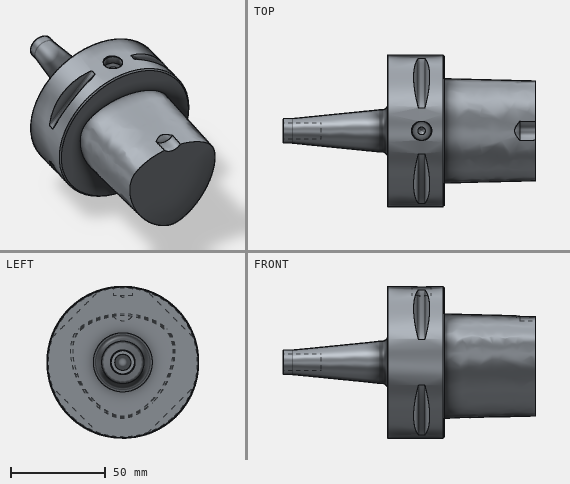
import cadquery as cq
import math

TOTAL_LENGTH = 133.0
COLLAR_START = 54.9
COLLAR_END = 85.0
COLLAR_RADIUS = 80.0 / 2
FRONT_CHAMFER = 0.4
REAR_CHAMFER = 0.8

NOSE_RADIUS = 13.0 / 2
NOSE_CHAMFER = 0.4
NOSE_STRAIGHT = 4.9
NECK_RADIUS = 22.3 / 2
NECK_START = 51.1
NECK_FILLET = 3.2
RECESS_RADIUS = 15.5
RECESS_DEPTH = 0.4
BORE_RADIUS = 8.5 / 2
BORE_DEPTH = 20.0

SHANK_RADIUS = 27.5
SHANK_TAPER = 20.0
LOBE_HEIGHT = 2.0
LOBE_COUNT = 3
LOBE_DIRECTION = -math.pi / 2
OUTLINE_POINTS = 48

KEYWAY_RADIUS = 13.0 / 2
KEYWAY_LENGTH = 8.2
KEYWAY_AXIS_HEIGHT = 28.3
KEYWAY_CONE_HALF_ANGLE = math.radians(45)

RIM_FEATURE_X = 73.0
GROOVE_FLOOR_DISTANCE = 35.5
GROOVE_FLOOR_WIDTH = 3.5
GROOVE_MOUTH_WIDTH = 8.5
GROOVE_CORNER_RADIUS = 0.5
GROOVE_ANGLES = (45, 135, 225, 315)
RIM_HOLE_RADIUS = 10.0 / 2
RIM_HOLE_DEPTH = 4.8
RIM_HOLE_CHAMFER = 0.4
CENTER_MARK_RADIUS = 4.0 / 2
DRILL_HALF_ANGLE = math.radians(60)


def make_nose_and_collar():
    """Revolve the nose, neck fillet and collar about the X axis."""
    recess_floor = COLLAR_START + RECESS_DEPTH
    fillet_start = recess_floor - NECK_FILLET
    fillet_end_radius = NECK_RADIUS + NECK_FILLET
    diagonal = NECK_FILLET * math.sqrt(0.5)
    fillet_middle = (fillet_start + diagonal, fillet_end_radius - diagonal)
    profile = (
        cq.Workplane("XY")
        .moveTo(0, 0)
        .lineTo(0, NOSE_RADIUS - NOSE_CHAMFER)
        .lineTo(NOSE_CHAMFER, NOSE_RADIUS)
        .lineTo(NOSE_STRAIGHT, NOSE_RADIUS)
        .lineTo(NECK_START, NECK_RADIUS)
        .lineTo(fillet_start, NECK_RADIUS)
        .threePointArc(fillet_middle, (recess_floor, fillet_end_radius))
        .lineTo(recess_floor, RECESS_RADIUS)
        .lineTo(COLLAR_START, RECESS_RADIUS)
        .lineTo(COLLAR_START, COLLAR_RADIUS - FRONT_CHAMFER)
        .lineTo(COLLAR_START + FRONT_CHAMFER, COLLAR_RADIUS)
        .lineTo(COLLAR_END - REAR_CHAMFER, COLLAR_RADIUS)
        .lineTo(COLLAR_END, COLLAR_RADIUS - REAR_CHAMFER)
        .lineTo(COLLAR_END, 0)
        .close()
    )
    return profile.revolve(360, (0, 0, 0), (1, 0, 0))


def lobed_outline(mean_radius):
    """Points of a constant-width curve, from its distance to each tangent line."""
    points = []
    for index in range(OUTLINE_POINTS):
        angle = 2 * math.pi * index / OUTLINE_POINTS
        phase = LOBE_COUNT * (angle - LOBE_DIRECTION)
        distance = mean_radius + LOBE_HEIGHT * math.cos(phase)
        slope = -LOBE_COUNT * LOBE_HEIGHT * math.sin(phase)
        y = distance * math.cos(angle) - slope * math.sin(angle)
        z = distance * math.sin(angle) + slope * math.cos(angle)
        points.append((y, z))
    return points


def make_shank():
    """Loft the lobed outline from the collar to the smaller rear end."""
    length = TOTAL_LENGTH - COLLAR_END
    end_radius = SHANK_RADIUS - length / SHANK_TAPER / 2
    return (
        cq.Workplane("YZ", origin=(COLLAR_END, 0, 0))
        .spline(lobed_outline(SHANK_RADIUS), periodic=True)
        .close()
        .workplane(offset=length)
        .spline(lobed_outline(end_radius), periodic=True)
        .close()
        .loft(ruled=True, combine=True)
    )


def make_keyway():
    """Drilled keyway with a conical inner end; its axis lies above the shank surface."""
    start = TOTAL_LENGTH - KEYWAY_LENGTH
    point_length = KEYWAY_RADIUS / math.tan(KEYWAY_CONE_HALF_ANGLE)
    return (
        cq.Workplane("XY")
        .moveTo(start - point_length, 0)
        .lineTo(start, KEYWAY_RADIUS)
        .lineTo(TOTAL_LENGTH, KEYWAY_RADIUS)
        .lineTo(TOTAL_LENGTH, 0)
        .close()
        .revolve(360, (0, 0, 0), (1, 0, 0))
        .translate((0, 0, KEYWAY_AXIS_HEIGHT))
    )


def make_groove(angle):
    """Straight flared groove across the collar rim, turned about the X axis."""
    half_floor = GROOVE_FLOOR_WIDTH / 2
    half_mouth = GROOVE_MOUTH_WIDTH / 2
    return (
        cq.Workplane("XZ", origin=(RIM_FEATURE_X, 0, 0))
        .moveTo(-half_floor, GROOVE_FLOOR_DISTANCE)
        .lineTo(-half_mouth, COLLAR_RADIUS)
        .lineTo(half_mouth, COLLAR_RADIUS)
        .lineTo(half_floor, GROOVE_FLOOR_DISTANCE)
        .close()
        .extrude(COLLAR_RADIUS, both=True)
        .faces("<Z")
        .edges("|Y")
        .fillet(GROOVE_CORNER_RADIUS)
        .rotate((0, 0, 0), (1, 0, 0), angle)
    )


def make_rim_hole():
    """Radial hole with a chamfered mouth and a conical center mark in its floor."""
    floor = COLLAR_RADIUS - RIM_HOLE_DEPTH
    cone_tip = floor - CENTER_MARK_RADIUS / math.tan(DRILL_HALF_ANGLE)
    mouth_radius = RIM_HOLE_RADIUS + RIM_HOLE_CHAMFER
    return (
        cq.Workplane("XZ")
        .moveTo(0, cone_tip)
        .lineTo(CENTER_MARK_RADIUS, floor)
        .lineTo(RIM_HOLE_RADIUS, floor)
        .lineTo(RIM_HOLE_RADIUS, COLLAR_RADIUS - RIM_HOLE_CHAMFER)
        .lineTo(mouth_radius, COLLAR_RADIUS)
        .lineTo(0, COLLAR_RADIUS)
        .close()
        .revolve(360, (0, 0, 0), (0, 1, 0))
        .translate((RIM_FEATURE_X, 0, 0))
    )


def make_nose_bore():
    """Blind bore in the tip of the nose."""
    return cq.Workplane("YZ").circle(BORE_RADIUS).extrude(BORE_DEPTH)


result = make_nose_and_collar().union(make_shank())
result = result.cut(make_nose_bore()).cut(make_keyway()).cut(make_rim_hole())
for groove_angle in GROOVE_ANGLES:
    result = result.cut(make_groove(groove_angle))